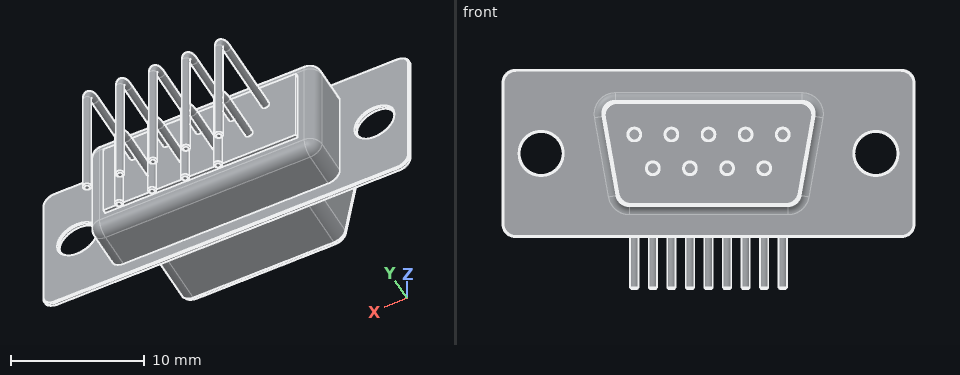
import cadquery as cq
import math


overall_depth = 18.65

flange_width = 30.8
flange_height = 12.5
flange_thickness = 0.4
flange_corner_radius = 1.0
flange_edge_chamfer = 0.1
mount_hole_diameter = 3.2
mount_hole_spacing = 25.0

shell_depth = 6.1
shell_height = 7.9
shell_mid_width = 14.88
shell_side_angle = 10.0
shell_corner_radius = 1.0
shell_front_chamfer = 0.1
shell_root_fillet = 0.62
insert_proud = 0.28
insert_inset = 0.1
insert_front_chamfer = 0.1

housing_width = 19.2
housing_height = 9.95
housing_depth = 3.95
housing_radius = 1.0
pad_width = 16.2
pad_height = 7.0
pad_depth = 0.3

contact_pitch = 2.77
row_spacing = 2.53
upper_contact_count = 5
lower_contact_count = 4
socket_diameter = 0.85
socket_row_lift = 0.15
socket_depth = shell_depth
socket_chamfer = 0.1
pin_diameter = 0.65
pin_bend_radius = 1.3
pin_tip_chamfer = 0.12
pin_tip_z = -10.13
lower_pin_y = 9.7
upper_pin_y = overall_depth - shell_depth - pin_diameter / 2

housing_back = flange_thickness + housing_depth


def plane_at(y):
    """XZ plane at the given Y, with its normal along +Y and local x along -X."""
    return cq.Workplane(cq.Plane(origin=(0, y, 0), xDir=(-1, 0, 0), normal=(0, 1, 0)))


def row_positions(count):
    """X places of a centred row of contacts."""
    return [(i - (count - 1) / 2) * contact_pitch for i in range(count)]


def make_flange():
    flange = plane_at(0).rect(flange_width, flange_height).extrude(flange_thickness)
    flange = flange.edges("|Y").fillet(flange_corner_radius)
    hole_centres = [(-mount_hole_spacing / 2, 0), (mount_hole_spacing / 2, 0)]
    mount_holes = plane_at(0).pushPoints(hole_centres).circle(mount_hole_diameter / 2)
    flange = flange.cut(mount_holes.extrude(flange_thickness))
    return flange.faces("<Y or >Y").edges().chamfer(flange_edge_chamfer)


def make_d_block(inset, front_y, depth):
    """D-shaped block, inset from the shell outline, that runs from front_y along +Y."""
    half_height = shell_height / 2 - inset
    slant = math.radians(shell_side_angle)
    mid_half = shell_mid_width / 2 - inset / math.cos(slant)
    taper = half_height * math.tan(slant)
    corners = [
        (-mid_half - taper, half_height),
        (mid_half + taper, half_height),
        (mid_half - taper, -half_height),
        (-mid_half + taper, -half_height),
    ]
    block = plane_at(front_y).polyline(corners).close().extrude(depth)
    return block.edges("|Y").fillet(shell_corner_radius)


def make_shell():
    """Metal shell with the contact insert standing slightly proud of it."""
    shell = make_d_block(0, insert_proud - shell_depth, shell_depth - insert_proud)
    shell = shell.faces("<Y").edges().chamfer(shell_front_chamfer)
    insert = make_d_block(insert_inset, -shell_depth, shell_depth)
    insert = insert.faces("<Y").edges().chamfer(insert_front_chamfer)
    return shell.union(insert)


def round_shell_root(body):
    """Fillet the seam between the shell and the flange."""
    reach_x = mount_hole_spacing / 2 - mount_hole_diameter
    reach_z = shell_height / 2 + shell_root_fillet
    tolerance = 0.03
    near_seam = cq.selectors.BoxSelector((-reach_x, -tolerance, -reach_z), (reach_x, tolerance, reach_z))
    return body.edges(near_seam).fillet(shell_root_fillet)


def make_housing():
    housing = plane_at(flange_thickness).rect(housing_width, housing_height).extrude(housing_depth)
    housing = housing.edges("|Y").fillet(housing_radius)
    housing = housing.faces(">Y").edges().fillet(housing_radius)
    pad = plane_at(housing_back).rect(pad_width, pad_height).extrude(pad_depth)
    return housing.union(pad)


def make_pin(x, z, leg_y):
    """Pin that leaves the housing along +Y through the pad, then bends down to its tip."""
    bend_y = leg_y - pin_bend_radius
    bend_z = z - pin_bend_radius
    path = (
        cq.Workplane("YZ", origin=(x, 0, 0))
        .moveTo(housing_back, z)
        .lineTo(bend_y, z)
        .radiusArc((leg_y, bend_z), pin_bend_radius)
        .lineTo(leg_y, pin_tip_z)
    )
    section = cq.Workplane("XZ", origin=(x, housing_back, z)).circle(pin_diameter / 2)
    return section.sweep(path).faces("<Z").edges().chamfer(pin_tip_chamfer)


def make_socket(x, z):
    """Solid that cuts a blind contact hole with a chamfered mouth."""
    radius = socket_diameter / 2
    mouth_radius = radius + socket_chamfer
    profile = (
        cq.Workplane("XY", origin=(x, -shell_depth, z))
        .lineTo(mouth_radius, 0)
        .lineTo(radius, socket_chamfer)
        .lineTo(radius, socket_depth)
        .lineTo(0, socket_depth)
        .close()
    )
    return profile.revolve(360, (0, 0), (0, 1))


result = round_shell_root(make_flange().union(make_shell())).union(make_housing())

contact_rows = [
    (upper_contact_count, row_spacing / 2, upper_pin_y),
    (lower_contact_count, -row_spacing / 2, lower_pin_y),
]
for count, row_z, leg_y in contact_rows:
    for x in row_positions(count):
        result = result.union(make_pin(x, row_z, leg_y)).cut(make_socket(x, row_z + socket_row_lift))